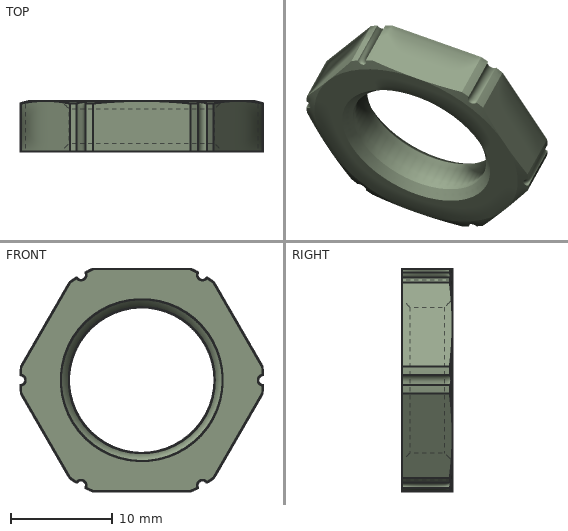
import cadquery as cq
import math

across_flats = 22.0
corner_diameter = 24.0
thickness = 5.0
bore_diameter = 14.39
countersink_diameter = 16.0
countersink_depth = (countersink_diameter - bore_diameter) / 2
corner_drop = 0.26
notch_radius = 0.5
side_count = 6
corner_radius = corner_diameter / 2
flat_radius = across_flats / 2
sharp_corner_diameter = across_flats / math.cos(math.pi / side_count)


def make_hexagon():
    """Hexagonal prism with two corners on the X axis."""
    return (
        cq.Workplane("XZ")
        .polygon(side_count, sharp_corner_diameter)
        .extrude(-thickness)
    )


def make_turned_envelope():
    """Revolved body that rounds the corners and bevels them at the back."""
    return (
        cq.Workplane("XY")
        .moveTo(0, 0)
        .lineTo(corner_radius, 0)
        .lineTo(corner_radius, thickness - corner_drop)
        .lineTo(flat_radius, thickness)
        .lineTo(0, thickness)
        .close()
        .revolve(360, (0, 0, 0), (0, 1, 0))
    )


def make_bore():
    """Through bore with a 45 degree countersink at each end."""
    bore_radius = bore_diameter / 2
    countersink_radius = countersink_diameter / 2
    return (
        cq.Workplane("XY")
        .moveTo(0, 0)
        .lineTo(countersink_radius, 0)
        .lineTo(bore_radius, countersink_depth)
        .lineTo(bore_radius, thickness - countersink_depth)
        .lineTo(countersink_radius, thickness)
        .lineTo(0, thickness)
        .close()
        .revolve(360, (0, 0, 0), (0, 1, 0))
    )


def make_corner_notches():
    """Round grooves along the six corners, centred on the corner circle."""
    return (
        cq.Workplane("XZ")
        .polarArray(corner_radius, 0, 360, side_count)
        .circle(notch_radius)
        .extrude(-thickness)
    )


body = make_hexagon().intersect(make_turned_envelope())
result = body.cut(make_bore()).cut(make_corner_notches())